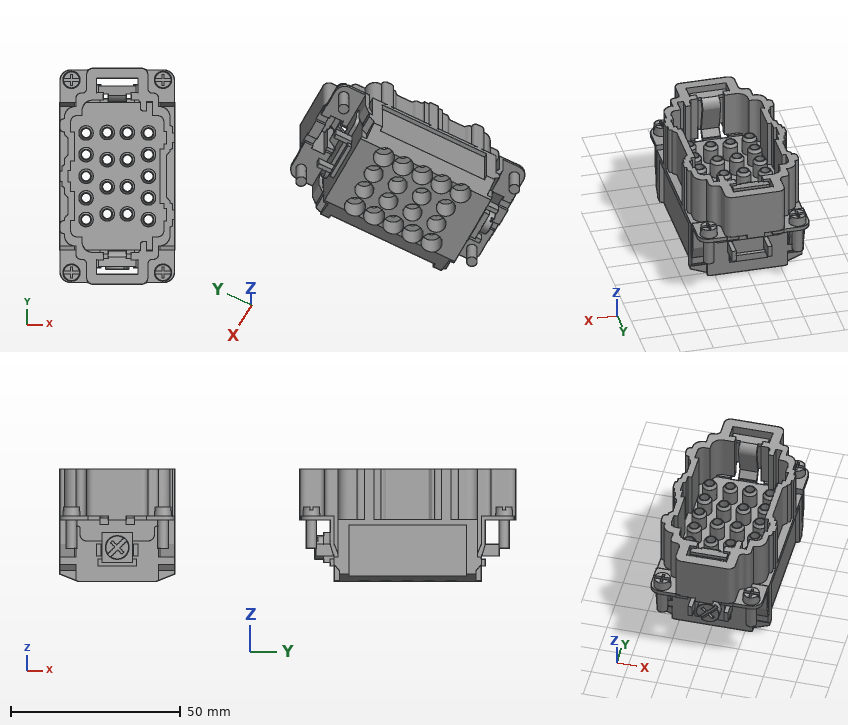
import cadquery as cq
import math

half_width = 17.0
half_length = 32.0
total_height = 33.3
body_end_y = 21.75
body_shoulder_y = 20.6
core_half_width = 12.2
body_top = 18.4
floor_z = 18.8
sheet = 1.2
sheet_outer_y = body_end_y + sheet
flange_top = 19.37
flange_bottom = flange_top - sheet
overlap = 0.5


def block(x0, x1, y0, y1, z0, z1):
    """Box between two opposite corners."""
    return cq.Workplane("XY").box(x1 - x0, y1 - y0, z1 - z0, centered=False).translate((x0, y0, z0))


def both_sides(solid):
    """The solid together with its mirror image across the YZ plane."""
    return solid.union(solid.mirror("YZ"))


def rounded_outline(points, z):
    """Closed XY outline at height z; a third number in a point rounds that corner."""
    path = None
    count = len(points)
    for i, point in enumerate(points):
        corner = cq.Vector(point[0], point[1])
        if len(point) == 2:
            stops = [corner]
        else:
            radius = point[2]
            to_last = (cq.Vector(*points[i - 1][:2]) - corner).normalized()
            to_next = (cq.Vector(*points[(i + 1) % count][:2]) - corner).normalized()
            half_angle = to_last.getAngle(to_next) / 2
            setback = radius / math.tan(half_angle)
            middle_distance = radius / math.sin(half_angle) - radius
            toward_centre = (to_last + to_next).normalized()
            stops = [
                corner + to_last * setback,
                corner + toward_centre * middle_distance,
                corner + to_next * setback,
            ]
        if path is None:
            path = cq.Workplane("XY", origin=(0, 0, z)).moveTo(stops[0].x, stops[0].y)
        else:
            path = path.lineTo(stops[0].x, stops[0].y)
        if len(stops) == 3:
            path = path.threePointArc((stops[1].x, stops[1].y), (stops[2].x, stops[2].y))
    return path.close()


def profile_yz(points, half_x):
    """Prism of a YZ polygon, centred on X = 0."""
    return cq.Workplane("YZ").polyline(points).close().extrude(half_x, both=True)


chamfer_inner_x = 11.5
chamfer_height = 2.2
panel_half_length = 17.4
panel_top = 16.75
panel_depth = 1.25
ledge_top = 7.2
foot_slope_top = 5.0
foot_slope_bottom = 3.2
foot_y = 20.15


def make_body_half():
    section = [
        (-chamfer_inner_x, 0),
        (chamfer_inner_x, 0),
        (half_width, chamfer_height),
        (half_width, floor_z),
        (-half_width, floor_z),
        (-half_width, chamfer_height),
    ]
    body = cq.Workplane("XZ").polyline(section).close().extrude(-body_end_y)
    corner_cut = (
        cq.Workplane("YZ", origin=(core_half_width, 0, 0))
        .moveTo(foot_y, 0)
        .lineTo(foot_y, foot_slope_bottom)
        .lineTo(body_end_y, foot_slope_top)
        .lineTo(body_end_y, 0)
        .close()
        .extrude(half_width - core_half_width)
    )
    leg_space = block(core_half_width, half_width, body_shoulder_y, body_end_y, ledge_top, floor_z)
    panel = block(half_width - panel_depth, half_width, 0, panel_half_length, 0, panel_top)
    deck = block(core_half_width, half_width, 0, body_end_y, body_top, floor_z)
    return body.cut(both_sides(corner_cut.union(leg_space).union(panel).union(deck)))


end_half_width = 9.05
side_x = 15.6
waist_x = 14.6
waist_y = 6.25
waist_round = 0.6
rib_x = 16.4
shoulder_y = 24.55
shoulder_round = 1.4

left_outer = [
    (-half_width, 0),
    (-half_width, 1.5, 0.4),
    (-rib_x, 1.5),
    (-rib_x, 3.05),
    (-side_x, 3.05, 0.75),
    (-side_x, 5.25, waist_round),
    (-waist_x, waist_y, waist_round),
    (-waist_x, 11.3, waist_round),
    (-side_x, 12.3, waist_round),
    (-side_x, 13.1),
    (-half_width, 13.1, 1.3),
    (-half_width, 17.0, 1.25),
    (-side_x, 17.0),
    (-side_x, body_shoulder_y, 3.1),
    (-core_half_width, body_shoulder_y),
    (-core_half_width, shoulder_y, shoulder_round),
    (-end_half_width, shoulder_y, shoulder_round),
    (-end_half_width, half_length, 2.0),
]
right_outer = [
    (end_half_width, half_length, 2.0),
    (end_half_width, shoulder_y, shoulder_round),
    (core_half_width, shoulder_y, shoulder_round),
    (core_half_width, body_shoulder_y),
    (side_x, body_shoulder_y, 3.1),
    (side_x, 14.95),
    (rib_x, 14.95, 0.7),
    (rib_x, 12.8),
    (half_width, 12.8),
    (half_width, 10.0),
    (rib_x, 10.0),
    (rib_x, 7.95, 0.6),
    (side_x, 7.95),
    (side_x, 7.3, waist_round),
    (waist_x, waist_y, waist_round),
    (waist_x, 0),
]

cavity_x = 13.8
cavity_land_x = 12.6
cavity_groove_x = 14.6
cavity_end_y = 22.5
cavity_step_y = 17.93
cavity_round = 1.9
left_cavity = [
    (-cavity_groove_x, 0),
    (-cavity_groove_x, 1.7),
    (-cavity_x, 1.7),
    (-cavity_x, 4.45),
    (-cavity_land_x, 4.45),
    (-cavity_land_x, 13.05),
    (-cavity_x, 13.05),
    (-cavity_x, cavity_step_y, cavity_round),
    (-10.4, cavity_step_y),
    (-10.4, cavity_end_y, 3.1),
]
right_cavity = [
    (6.25, cavity_end_y),
    (6.85, 21.9),
    (6.85, 19.35, 0.75),
    (8.6, 19.35),
    (8.6, 22.15),
    (10.45, 22.15),
    (10.45, cavity_step_y),
    (cavity_x, cavity_step_y, cavity_round),
    (cavity_x, 13.2),
    (cavity_groove_x, 13.2),
    (cavity_groove_x, 9.6),
    (cavity_x, 9.6),
    (cavity_x, 8.05),
    (cavity_land_x, 8.05),
    (cavity_land_x, 0),
]

slot_half_width = 6.1
slot_y = (24.7, 28.9)
window_half_width = 4.07
relief_x = (2.65, 5.1)
relief_bottom = 16.9


def make_shell_half():
    shell = rounded_outline(left_outer + right_outer, flange_bottom).extrude(total_height - flange_bottom)
    cavity = rounded_outline(left_cavity + right_cavity, floor_z).extrude(total_height - floor_z)
    slot = block(-slot_half_width, slot_half_width, *slot_y, flange_bottom, total_height)
    window = block(
        -window_half_width, window_half_width, cavity_end_y, slot_y[0], flange_bottom, total_height
    )
    return shell.cut(cavity).cut(slot).cut(window)


bracket_half_width = half_width - 0.03
flange_end_y = 31.45
flange_corner = 3.2
nose_x = 8.65
nose_y = 31.6
leg_inner_x = 12.6
tongue_half_width = 11.0
tongue_bottom = 12.0
tongue_corner = 2.0
gap_top = 16.4
gap_round = 0.75
bend_top = 11.1
bend_bottom = 8.2
lug_x = (4.8, 6.1)
lug_end_y = 27.1
lug_z = (7.55, 11.05)
catch_half_width = 5.7
catch_z = (4.55, 6.63)


def make_flange():
    """Right half of the flange, resting under the shell."""
    flange = block(relief_x[1], bracket_half_width, body_end_y, flange_end_y, flange_bottom, flange_top)
    flange = flange.edges("|Z and >X and >Y").fillet(flange_corner)
    nose = block(relief_x[1], nose_x, flange_end_y - overlap, nose_y, flange_bottom, flange_top)
    slot = block(0, slot_half_width, *slot_y, flange_bottom, flange_top)
    return flange.union(nose).cut(slot)


def make_leg():
    """Leg beside the body; its lower part bends inward by one sheet thickness."""
    inset = body_end_y - body_shoulder_y
    outline = [
        (body_end_y, flange_top),
        (sheet_outer_y, flange_top),
        (sheet_outer_y, bend_top),
        (sheet_outer_y - inset, ledge_top),
        (body_shoulder_y, ledge_top),
        (body_shoulder_y, bend_bottom),
        (body_end_y, bend_top),
    ]
    leg = cq.Workplane("YZ", origin=(leg_inner_x, 0, 0)).polyline(outline).close()
    return leg.extrude(bracket_half_width - leg_inner_x)


def make_sheet():
    """Flat sheet across the body end, with the middle tongue between two gaps."""
    sheet_body = block(-leg_inner_x, leg_inner_x, body_end_y, sheet_outer_y, tongue_bottom, flange_top)
    gap = block(tongue_half_width, leg_inner_x, body_end_y, sheet_outer_y, tongue_bottom, gap_top)
    gap = gap.edges("|Y and >Z").fillet(gap_round)
    relief = block(*relief_x, body_end_y, sheet_outer_y, relief_bottom, flange_top)
    sheet_body = sheet_body.cut(both_sides(gap.union(relief)))
    return sheet_body.edges("|Y and <Z").fillet(tongue_corner)


def make_bracket_half():
    lug = block(*lug_x, body_end_y - overlap, lug_end_y, *lug_z)
    catch = block(-catch_half_width, catch_half_width, body_end_y - overlap, sheet_outer_y, *catch_z)
    sides = both_sides(make_flange().union(make_leg()).union(lug))
    return sides.union(make_sheet()).union(catch)


def make_foot_cuts():
    """Space at the foot of the shell: two reliefs and the ledge over the flange edge."""
    relief = block(*relief_x, body_end_y, half_length, flange_bottom, flange_top)
    ledge = block(relief_x[1], half_width, flange_end_y, half_length, flange_bottom, flange_top)
    return both_sides(relief.union(ledge))


clip_half_width = 2.7
head_half_width = 5.5
clip_top = 32.7
clip_sheet = 1.0
head_y = (24.25, 26.7)
crest_start_y = 23.9
head_slope = 0.1
crest = (22.0, 29.3)
crest_middle = (22.6, 31.3)
knee = (23.7, 21.5)


def head_top_z(y):
    """Height of the sloping clip head at a given Y."""
    return clip_top - head_slope * (head_y[1] - y)


def make_clip():
    arm = (
        cq.Workplane("YZ")
        .moveTo(head_y[0], head_top_z(head_y[0]))
        .lineTo(crest_start_y, head_top_z(crest_start_y))
        .threePointArc(crest_middle, crest)
        .lineTo(*knee)
        .lineTo(body_end_y, floor_z)
        .lineTo(body_end_y, flange_bottom)
        .lineTo(sheet_outer_y, flange_bottom)
        .lineTo(knee[0] + clip_sheet, knee[1])
        .lineTo(crest[0] + clip_sheet, crest[1])
        .lineTo(head_y[0], head_top_z(head_y[0]) - clip_sheet)
        .close()
        .extrude(clip_half_width, both=True)
    )
    head = profile_yz(
        [
            (head_y[0], head_top_z(head_y[0])),
            (head_y[1], clip_top),
            (head_y[1], clip_top - clip_sheet),
            (head_y[0], head_top_z(head_y[0]) - clip_sheet),
        ],
        head_half_width,
    )
    return arm.union(head)


screw_x = 13.53
screw_y = 28.5
screw_radius = 1.58
screw_bottom = 9.78
head_top = 22.1
head_radius = 2.55
head_top_radius = 2.35
long_slot_width = 0.9
short_slot_width = 0.65
short_slot_half_length = 1.6
screw_slot_depth = 1.0


def make_corner_screw(x):
    profile = [
        (0, screw_bottom),
        (screw_radius, screw_bottom),
        (screw_radius, flange_top),
        (head_radius, flange_top),
        (head_top_radius, head_top),
        (0, head_top),
    ]
    screw = cq.Workplane("XZ").polyline(profile).close().revolve(360, (0, 0, 0), (0, 1, 0))
    long_slot = cq.Workplane("XY").box(2 * head_radius, long_slot_width, 2 * screw_slot_depth)
    short_slot = cq.Workplane("XY").box(short_slot_width, 2 * short_slot_half_length, 2 * screw_slot_depth)
    screw = screw.cut(long_slot.union(short_slot).translate((0, 0, head_top)))
    return screw.translate((x, screw_y, 0))


outer_column_x = 9.23
outer_pitch = 6.4
inner_column_x = 2.98
inner_pitch = 8.03
inner_offset_y = 0.9
sleeve_radius = 2.15
sleeve_top = 24.3
sleeve_bevel_radial = 0.6
sleeve_bevel_height = 1.0
contact_hole_radius = 1.35
outer_rear_hole_radius = 3.1
inner_rear_hole_radius = 2.8
rear_hole_depth = 8.0

outer_points = [(side * outer_column_x, row * outer_pitch) for side in (-1, 1) for row in range(-2, 3)]
inner_points = [
    (side * inner_column_x, inner_offset_y + row * inner_pitch)
    for side in (-1, 1)
    for row in (-1.5, -0.5, 0.5, 1.5)
]


def rods(points, radius, bottom, top):
    """Equal vertical rods at the given XY points."""
    base = cq.Workplane("XY", origin=(0, 0, bottom)).pushPoints(points)
    return base.circle(radius).extrude(top - bottom)


def make_sleeves():
    sleeves = rods(outer_points + inner_points, sleeve_radius, floor_z - overlap, sleeve_top)
    return sleeves.faces(">Z").edges().chamfer(sleeve_bevel_height, sleeve_bevel_radial)


def make_contact_holes():
    through = rods(outer_points + inner_points, contact_hole_radius, 0, sleeve_top)
    outer_rear = rods(outer_points, outer_rear_hole_radius, 0, rear_hole_depth)
    inner_rear = rods(inner_points, inner_rear_hole_radius, 0, rear_hole_depth)
    return through.union(outer_rear).union(inner_rear)


terminal_z = 10.08
terminal_half_size = 4.5
terminal_end_y = 24.9
terminal_screw_radius = 3.5
terminal_screw_end_y = 27.5
terminal_screw_edge = 0.12
terminal_long_slot = 1.27
terminal_short_slot = 0.85
terminal_short_half_length = 2.35
terminal_slot_depth = 1.0
terminal_slot_angle = 45


def make_terminal():
    plate = block(
        -terminal_half_size,
        terminal_half_size,
        -terminal_end_y,
        -body_end_y + overlap,
        terminal_z - terminal_half_size,
        terminal_z + terminal_half_size,
    )
    screw = (
        cq.Workplane("XZ", origin=(0, -terminal_end_y, terminal_z))
        .circle(terminal_screw_radius)
        .extrude(terminal_screw_end_y - terminal_end_y)
        .faces("<Y")
        .chamfer(terminal_screw_edge)
    )
    long_slot = cq.Workplane("XY").box(
        2 * terminal_screw_radius, 2 * terminal_slot_depth, terminal_long_slot
    )
    short_slot = cq.Workplane("XY").box(
        terminal_short_slot, 2 * terminal_slot_depth, 2 * terminal_short_half_length
    )
    cross = long_slot.union(short_slot).rotate((0, 0, 0), (0, 1, 0), -terminal_slot_angle)
    screw = screw.cut(cross.translate((0, -terminal_screw_end_y, terminal_z)))
    return plate.union(screw)


half = make_body_half().union(make_shell_half()).cut(make_foot_cuts())
half = half.union(make_bracket_half()).union(make_clip())
for x in (-screw_x, screw_x):
    half = half.union(make_corner_screw(x))

result = half.union(half.mirror("XZ"))
result = result.union(make_sleeves()).cut(make_contact_holes()).union(make_terminal())